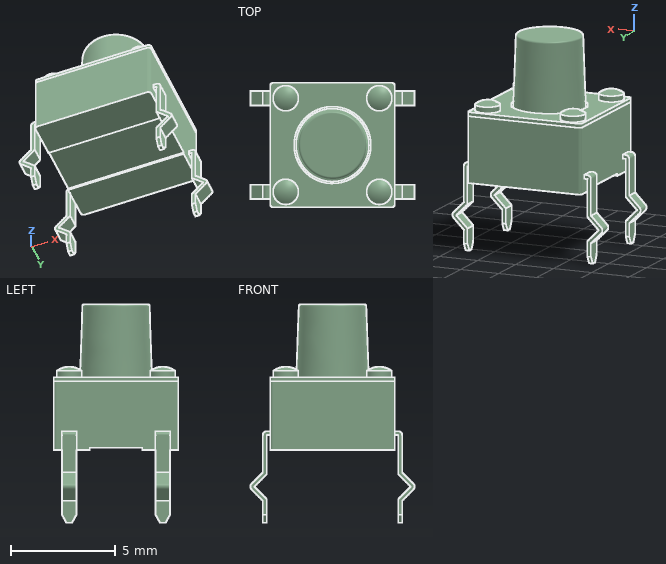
import cadquery as cq
import math

TOTAL_HEIGHT = 10.5
BASE_BOTTOM_Z = 3.5
COVER_TOP_Z = 7.0
COVER_THICKNESS = 0.2
BASE_TOP_Z = COVER_TOP_Z - COVER_THICKNESS

CASE_SIDE = 6.0
CASE_CORNER_RADIUS = 0.16
UNDERSIDE_SLOT_WIDTH = 2.51
UNDERSIDE_SLOT_DEPTH = 0.1

PLUNGER_BASE_RADIUS = 1.75
PLUNGER_TAPER_DEGREES = 2.0
PLUNGER_EDGE_RADIUS = 0.1
COVER_OPENING_RADIUS = 1.85

RIVET_RADIUS = 0.61
RIVET_RIM_HEIGHT = 0.29
RIVET_DOME_HEIGHT = 0.21

CORNER_OFFSET = 2.25

LEAD_THICKNESS = 0.2
LEAD_WIDTH = 0.7
LEAD_TOP_Z = 4.41
LEAD_INNER_X = 3.15
LEAD_OUTER_X = LEAD_INNER_X + LEAD_THICKNESS
KINK_REACH_X = 3.95
KINK_CENTER_Z = 1.74
LEAD_TIP_WIDTH = 0.27
LEAD_TIP_HEIGHT = 0.39


def case_block(bottom_z, top_z):
    """Square block with rounded upright edges."""
    return (
        cq.Workplane("XY", origin=(0, 0, bottom_z))
        .rect(CASE_SIDE, CASE_SIDE)
        .extrude(top_z - bottom_z)
        .edges("|Z")
        .fillet(CASE_CORNER_RADIUS)
    )


def make_plunger():
    """Tapered round plunger with a rounded top edge."""
    return (
        cq.Workplane("XY", origin=(0, 0, BASE_TOP_Z))
        .circle(PLUNGER_BASE_RADIUS)
        .extrude(TOTAL_HEIGHT - BASE_TOP_Z, taper=PLUNGER_TAPER_DEGREES)
        .faces(">Z")
        .edges()
        .fillet(PLUNGER_EDGE_RADIUS)
    )


def make_base():
    """Base block carrying the plunger, with a shallow slot across its underside."""
    slot = cq.Workplane("XY", origin=(0, 0, BASE_BOTTOM_Z)).box(
        CASE_SIDE, UNDERSIDE_SLOT_WIDTH, UNDERSIDE_SLOT_DEPTH, centered=(True, True, False)
    )
    return case_block(BASE_BOTTOM_Z, BASE_TOP_Z).cut(slot).union(make_plunger())


def make_rivet_head(x, y):
    """Short cylinder topped by a spherical dome, standing on the cover."""
    sphere_radius = (RIVET_RADIUS**2 + RIVET_DOME_HEIGHT**2) / (2 * RIVET_DOME_HEIGHT)
    apex_height = RIVET_RIM_HEIGHT + RIVET_DOME_HEIGHT
    half_angle = math.asin(RIVET_RADIUS / sphere_radius) / 2
    arc_middle = (
        sphere_radius * math.sin(half_angle),
        apex_height - sphere_radius * (1 - math.cos(half_angle)),
    )
    return (
        cq.Workplane("XZ")
        .lineTo(RIVET_RADIUS, 0)
        .lineTo(RIVET_RADIUS, RIVET_RIM_HEIGHT)
        .threePointArc(arc_middle, (0, apex_height))
        .close()
        .revolve(360, (0, 0), (0, 1))
        .translate((x, y, COVER_TOP_Z))
    )


def make_cover():
    """Cover plate with the plunger opening and a rivet head near each corner."""
    opening = (
        cq.Workplane("XY", origin=(0, 0, BASE_TOP_Z)).circle(COVER_OPENING_RADIUS).extrude(COVER_THICKNESS)
    )
    cover = case_block(BASE_TOP_Z, COVER_TOP_Z).cut(opening)
    for x in (-CORNER_OFFSET, CORNER_OFFSET):
        for y in (-CORNER_OFFSET, CORNER_OFFSET):
            cover = cover.union(make_rivet_head(x, y))
    return cover


def lead_outline(y):
    """Tapered-tip outline of a lead in the YZ plane, extruded along +X as a trimming block."""
    half_width = LEAD_WIDTH / 2
    half_tip = LEAD_TIP_WIDTH / 2
    return (
        cq.Workplane("YZ", origin=(0, y, 0))
        .moveTo(-half_tip, 0)
        .lineTo(half_tip, 0)
        .lineTo(half_width, LEAD_TIP_HEIGHT)
        .lineTo(half_width, LEAD_TOP_Z)
        .lineTo(-half_width, LEAD_TOP_Z)
        .lineTo(-half_width, LEAD_TIP_HEIGHT)
        .close()
        .extrude(KINK_REACH_X)
    )


def make_right_lead(y):
    """Lead on the +X side: out of the case wall, down, out and back in a 45 degree kink, to a tip."""
    wall_x = CASE_SIDE / 2
    shoulder_z = LEAD_TOP_Z - LEAD_THICKNESS
    diagonal = LEAD_THICKNESS * math.sqrt(0.5)
    shoulder_arc_middle = (LEAD_INNER_X + diagonal, shoulder_z + diagonal)

    kink_inside_x = KINK_REACH_X - LEAD_THICKNESS
    kink_outside_x = kink_inside_x + diagonal
    outer_half_height = kink_outside_x + diagonal - LEAD_OUTER_X
    inner_half_height = kink_inside_x - LEAD_INNER_X

    strip = (
        cq.Workplane("XZ", origin=(0, y + LEAD_WIDTH / 2, 0))
        .moveTo(wall_x, LEAD_TOP_Z)
        .lineTo(LEAD_INNER_X, LEAD_TOP_Z)
        .threePointArc(shoulder_arc_middle, (LEAD_OUTER_X, shoulder_z))
        .lineTo(LEAD_OUTER_X, KINK_CENTER_Z + outer_half_height)
        .lineTo(kink_outside_x, KINK_CENTER_Z + diagonal)
        .threePointArc((KINK_REACH_X, KINK_CENTER_Z), (kink_outside_x, KINK_CENTER_Z - diagonal))
        .lineTo(LEAD_OUTER_X, KINK_CENTER_Z - outer_half_height)
        .lineTo(LEAD_OUTER_X, 0)
        .lineTo(LEAD_INNER_X, 0)
        .lineTo(LEAD_INNER_X, KINK_CENTER_Z - inner_half_height)
        .lineTo(kink_inside_x, KINK_CENTER_Z)
        .lineTo(LEAD_INNER_X, KINK_CENTER_Z + inner_half_height)
        .lineTo(LEAD_INNER_X, shoulder_z)
        .lineTo(wall_x, shoulder_z)
        .close()
        .extrude(LEAD_WIDTH)
    )
    return strip.intersect(lead_outline(y))


def make_leads():
    """Two leads on the +X side and their mirror images on the -X side."""
    leads = []
    for y in (-CORNER_OFFSET, CORNER_OFFSET):
        right_lead = make_right_lead(y)
        leads.append(right_lead.val())
        leads.append(right_lead.mirror("YZ").val())
    return leads


base = make_base()
cover = make_cover()
leads = make_leads()

result = cq.Compound.makeCompound([base.val(), cover.val(), *leads])